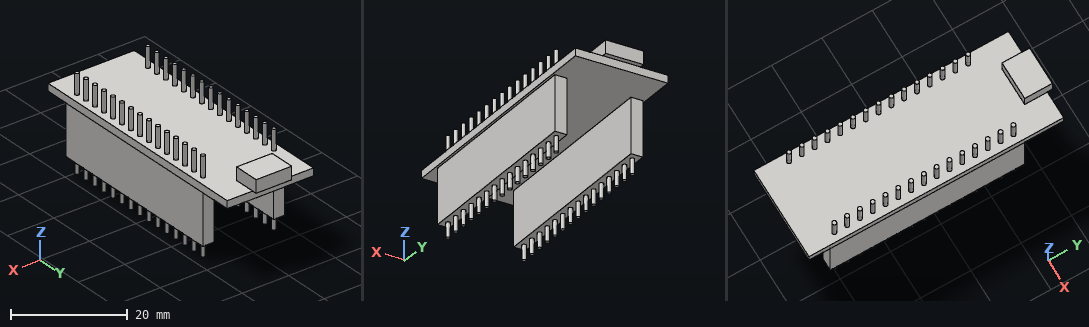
import cadquery as cq

overall_length = 51.6
overall_height = 19.9
board_width = 18.6
board_thickness = 1.6

connector_width = 7.65
connector_length = 5.5
connector_height = 2.7
connector_overhang = 1.0
board_length = overall_length - connector_overhang

pin_diameter = 0.8
pins_per_row = 15
pin_row_length = 35.55
pin_pitch = pin_row_length / (pins_per_row - 1)
row_spacing = 15.2
row_middle_y = -1.5
pin_height_above_board = 4.3
pin_length_below_header = 3.0
pin_top = board_thickness + pin_height_above_board
pin_bottom = pin_top - overall_height

header_width = 2.4
header_end_margin = 1.55
header_length = pin_row_length + 2 * header_end_margin
header_bottom = pin_bottom + pin_length_below_header
header_height = -header_bottom


def block(width, length, height, base_centre):
    """Box standing on the given centre point of its bottom face."""
    return cq.Workplane("XY", origin=base_centre).box(
        width, length, height, centered=(True, True, False)
    )


def make_board():
    return block(board_width, board_length, board_thickness, (0, 0, 0))


def make_connector():
    outer_face_y = board_length / 2 + connector_overhang
    base_centre = (0, outer_face_y - connector_length / 2, board_thickness)
    return block(connector_width, connector_length, connector_height, base_centre)


def make_header(row_x):
    base_centre = (row_x, row_middle_y, header_bottom)
    return block(header_width, header_length, header_height, base_centre)


def make_pin_row(row_x):
    """Pins running straight through the header strip and the board."""
    return (
        cq.Workplane("XY", origin=(row_x, row_middle_y, pin_bottom))
        .rarray(0.5, pin_pitch, 1, pins_per_row)
        .circle(pin_diameter / 2)
        .extrude(overall_height)
    )


result = make_board().union(make_connector())
for row_x in (-row_spacing / 2, row_spacing / 2):
    result = result.union(make_header(row_x))
    result = result.union(make_pin_row(row_x))